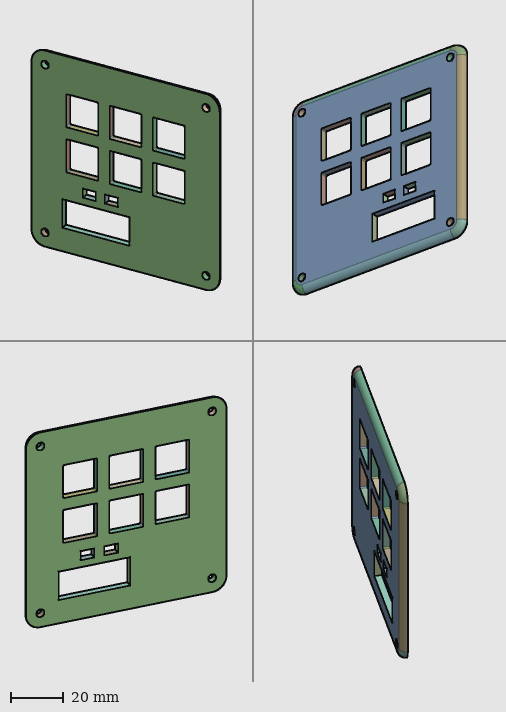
import cadquery as cq

plate_size = 82.8
plate_thickness = 3.0
corner_radius = 6.0
front_edge_land = 0.01
back_edge_radius = plate_thickness - front_edge_land

screw_hole_diameter = 3.2
screw_hole_spacing = plate_size - 2 * corner_radius

key_columns = 3
key_rows = 2
key_pitch = 19.05
key_opening_size = 14.0
key_corner_radius = 0.5
key_grid_center_z = 8.95

small_window_count = 2
small_window_width = 5.6
small_window_height = 3.8
small_window_pitch = 9.8
small_window_row_x = -11.1
small_window_z = -14.5

display_width = 29.6
display_height = 12.0
display_x = -13.1
display_z = -25.4


def on_front(x=0.0, z=0.0):
    """Workplane on the front face at (x, z); a negative extrusion goes into the plate."""
    return cq.Workplane("XZ", origin=(x, 0, z))


def make_plate():
    """Square plate with rounded corners and a rounded-over back edge."""
    blank = on_front().rect(plate_size, plate_size).extrude(-plate_thickness)
    rounded = blank.edges("|Y").fillet(corner_radius)
    return rounded.faces(">Y").edges().fillet(back_edge_radius)


def screw_holes():
    corners = on_front().rect(screw_hole_spacing, screw_hole_spacing, forConstruction=True).vertices()
    return corners.circle(screw_hole_diameter / 2).extrude(-plate_thickness)


def key_openings():
    grid = on_front(z=key_grid_center_z).rarray(key_pitch, key_pitch, key_columns, key_rows)
    openings = grid.rect(key_opening_size, key_opening_size).extrude(-plate_thickness)
    return openings.edges("|Y").fillet(key_corner_radius)


def small_windows():
    center = on_front(small_window_row_x, small_window_z)
    row = center.rarray(small_window_pitch, small_window_pitch, small_window_count, 1)
    return row.rect(small_window_width, small_window_height).extrude(-plate_thickness)


def display_window():
    return on_front(display_x, display_z).rect(display_width, display_height).extrude(-plate_thickness)


result = make_plate()
for cutout in (screw_holes(), key_openings(), small_windows(), display_window()):
    result = result.cut(cutout)